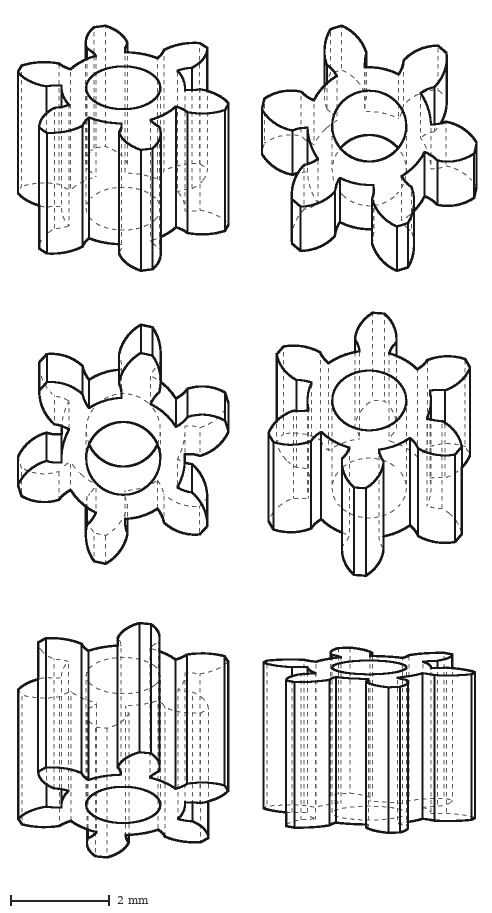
import cadquery as cq
import math

tooth_count = 6
tip_radius = 2.2
root_radius = 1.25
bore_diameter = 1.5
face_width = 3.0

tip_half_width = 0.12
upper_flank_half_width = 0.348
upper_flank_height = 1.88
shoulder_half_width = 0.422
shoulder_height = 1.5
lower_flank_half_width = 0.35
lower_flank_height = 1.38
root_half_width = 0.3
root_height = math.sqrt(root_radius**2 - root_half_width**2)


def make_tooth():
    """Tooth pointing along +Y, with convex upper and concave lower flanks."""
    return (
        cq.Workplane("XY")
        .moveTo(0, 0)
        .lineTo(root_half_width, root_height)
        .threePointArc(
            (lower_flank_half_width, lower_flank_height),
            (shoulder_half_width, shoulder_height),
        )
        .threePointArc(
            (upper_flank_half_width, upper_flank_height),
            (tip_half_width, tip_radius),
        )
        .lineTo(-tip_half_width, tip_radius)
        .threePointArc(
            (-upper_flank_half_width, upper_flank_height),
            (-shoulder_half_width, shoulder_height),
        )
        .threePointArc(
            (-lower_flank_half_width, lower_flank_height),
            (-root_half_width, root_height),
        )
        .close()
        .extrude(face_width)
    )


gear = cq.Workplane("XY").circle(root_radius).extrude(face_width)
tooth = make_tooth()
for index in range(tooth_count):
    angle = index * 360 / tooth_count
    gear = gear.union(tooth.rotate((0, 0, 0), (0, 0, 1), angle))

bore = cq.Workplane("XY").circle(bore_diameter / 2).extrude(face_width)
result = gear.cut(bore)